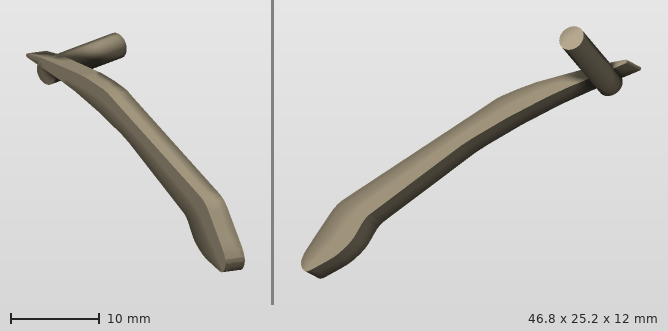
import cadquery as cq

lever_thickness = 2.5
lever_normal = (-0.31, -1, 0.06)
lever_direction = (1, -0.31, 0)

pin_diameter = 3.0
pin_length = 11.4
pin_x = 4.1
pin_front_y = -1.0
pin_z = -0.7

tail_top = (0.15, 0.2)
back_curve = [(3.05, 0.75), (6.15, 1.15), (9.8, 1.6), (13.45, 2.0), (16.5, 2.1), (19.55, 1.9), (20.8, 1.65)]
head_shoulder = (41.75, -2.65)
head_top_curve = [(42.95, -3.15), (44.25, -4.1), (45.5, -5.3), (47.15, -6.7), (48.2, -8.0)]
head_nose = [(48.25, -8.95), (47.95, -9.5), (46.8, -9.8)]
head_bottom_curve = [(45.6, -9.65), (43.1, -9.25), (41.9, -8.8), (40.65, -8.05), (39.35, -6.75), (38.1, -5.9)]
belly_start = (24.55, -2.05)
belly_curve = [(22.05, -1.6), (19.6, -1.2), (14.7, -0.65), (9.8, -0.35), (4.9, -0.3), (0.15, -0.3)]
tail_tip = (-0.05, -0.05)

tail_top_direction = (6.2, 1.3)
top_edge_direction = (head_shoulder[0] - back_curve[-1][0], head_shoulder[1] - back_curve[-1][1])
head_top_end_direction = (1.5, -2.8)
head_bottom_start_direction = (-2.6, 0.2)
belly_edge_direction = (belly_start[0] - head_bottom_curve[-1][0], belly_start[1] - head_bottom_curve[-1][1])
belly_end_direction = (-1, 0)


def make_lever():
    face_plane = cq.Plane(origin=(0, 0, 0), xDir=lever_direction, normal=lever_normal)
    outline = (
        cq.Workplane(face_plane)
        .moveTo(*tail_top)
        .spline(back_curve, [tail_top_direction, top_edge_direction], includeCurrent=True)
        .lineTo(*head_shoulder)
        .spline(head_top_curve, [top_edge_direction, head_top_end_direction], includeCurrent=True)
        .spline(head_nose, [head_top_end_direction, head_bottom_start_direction], includeCurrent=True)
        .spline(head_bottom_curve, [head_bottom_start_direction, belly_edge_direction], includeCurrent=True)
        .lineTo(*belly_start)
        .spline(belly_curve, [belly_edge_direction, belly_end_direction], includeCurrent=True)
        .threePointArc(tail_tip, tail_top)
        .close()
    )
    return outline.extrude(-lever_thickness)


def make_pin():
    start_plane = cq.Plane(origin=(pin_x, pin_front_y, pin_z), xDir=(1, 0, 0), normal=(0, 1, 0))
    return cq.Workplane(start_plane).circle(pin_diameter / 2).extrude(pin_length)


result = make_lever().union(make_pin())